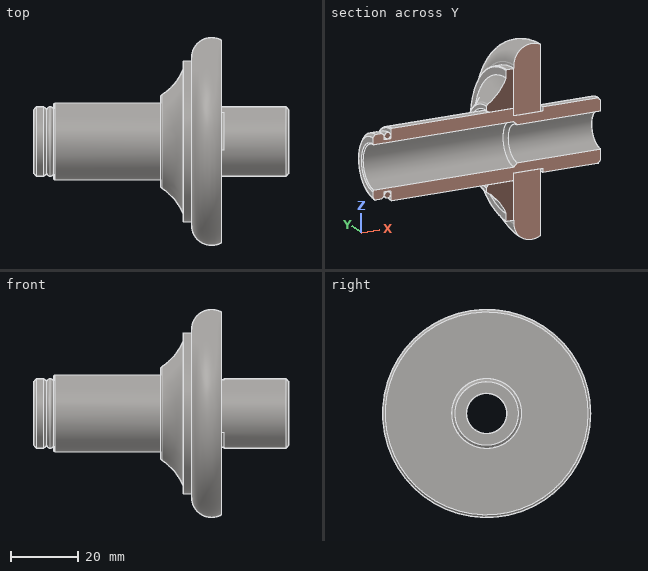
import cadquery as cq
import math


total_length = 76.0
flange_radius = 31.0

neck_radius = 10.4
neck_chamfer_length = 0.8
neck_chamfer_height = 0.95
collar_radius = 11.5
collar_chamfer = 0.3
inlet_neck_length = 3.0
relief_end_x = 3.85
relief_radius = 9.7
collar_start_x = 6.0

ring_section_radius = 1.05
ring_crest_width = 0.3
ring_center_x = collar_start_x - ring_section_radius
ring_center_radius = neck_radius - ring_section_radius
groove_floor_radius = ring_center_radius - ring_section_radius

bell_start_x = 37.8
bell_nose_radius = 14.05
bell_nose_chamfer = 0.5
bell_countersink = 0.7
bell_flare_radius = 21.4
bell_flare_arc_radius = 15.5
bell_rim_x = 44.4
bell_rim_radius = 24.0
bell_rim_chamfer = 0.2

flange_edge_radius = 6.0
flange_edge_center_radius = flange_radius - flange_edge_radius
flange_start_x = 47.0
flange_end_x = 56.0
flange_edge_center_x = flange_start_x + flange_edge_radius
flange_back_radius = flange_edge_center_radius + math.sqrt(
    flange_edge_radius**2 - (flange_end_x - flange_edge_center_x) ** 2
)

flats_width = 17.0
flats_angle = 68.5
flats_end_x = 56.7

inlet_bore_radius = 7.1
bore_chamfer = 0.4
outlet_bore_radius = 5.95
bore_step_x = flange_start_x
bore_step_length = inlet_bore_radius - outlet_bore_radius


def turn(profile):
    """Revolve a closed profile of (x, radius) points about the X axis."""
    return profile.close().revolve(360, (0, 0, 0), (1, 0, 0))


def make_flat_cutters(start_x, end_x):
    """Two blocks that leave a core with parallel flats between start_x and end_x."""
    block_height = collar_radius
    block_width = 2 * collar_radius
    blocks = cq.Workplane("XY")
    for side in (-1, 1):
        block = cq.Workplane("XY").box(end_x - start_x, block_width, block_height)
        offset = side * (flats_width + block_height) / 2
        blocks = blocks.add(block.translate(((start_x + end_x) / 2, 0, offset)))
    return blocks.combine().rotate((0, 0, 0), (1, 0, 0), flats_angle - 90)


def make_seal_ring():
    half_crest = ring_crest_width / 2
    crest_radius = ring_center_radius + math.sqrt(ring_section_radius**2 - half_crest**2)
    return turn(
        cq.Workplane("XY")
        .moveTo(ring_center_x + half_crest, crest_radius)
        .threePointArc(
            (ring_center_x, ring_center_radius - ring_section_radius),
            (ring_center_x - half_crest, crest_radius),
        )
    )


def make_spindle():
    neck_end_radius = neck_radius - neck_chamfer_height
    body = turn(
        cq.Workplane("XY")
        .moveTo(0, inlet_bore_radius + bore_chamfer)
        .lineTo(0, neck_end_radius)
        .lineTo(neck_chamfer_length, neck_radius)
        .lineTo(inlet_neck_length, neck_radius)
        .lineTo(relief_end_x, relief_radius)
        .lineTo(relief_end_x, groove_floor_radius)
        .lineTo(collar_start_x, groove_floor_radius)
        .lineTo(collar_start_x, collar_radius - collar_chamfer)
        .lineTo(collar_start_x + collar_chamfer, collar_radius)
        .lineTo(flange_start_x, collar_radius)
        .lineTo(flange_start_x, neck_radius)
        .lineTo(total_length - neck_chamfer_length, neck_radius)
        .lineTo(total_length, neck_end_radius)
        .lineTo(total_length, outlet_bore_radius)
        .lineTo(bore_step_x + bore_step_length, outlet_bore_radius)
        .lineTo(bore_step_x, inlet_bore_radius)
        .lineTo(bore_chamfer, inlet_bore_radius)
    )
    return body.cut(make_flat_cutters(flange_start_x, flats_end_x))


def make_bell():
    flare_start = (bell_start_x + bell_nose_chamfer, bell_nose_radius)
    flare_end = (bell_rim_x, bell_flare_radius)
    return turn(
        cq.Workplane("XY")
        .moveTo(bell_start_x, collar_radius + bell_countersink)
        .lineTo(bell_start_x, bell_nose_radius - bell_nose_chamfer)
        .lineTo(*flare_start)
        .radiusArc(flare_end, -bell_flare_arc_radius)
        .lineTo(bell_rim_x, bell_rim_radius - bell_rim_chamfer)
        .lineTo(bell_rim_x + bell_rim_chamfer, bell_rim_radius)
        .lineTo(flange_start_x, bell_rim_radius)
        .lineTo(flange_start_x, collar_radius)
        .lineTo(bell_start_x + bell_countersink, collar_radius)
    )


def make_flange():
    disc = turn(
        cq.Workplane("XY")
        .moveTo(flange_start_x, 0)
        .lineTo(flange_start_x, flange_edge_center_radius)
        .threePointArc(
            (flange_edge_center_x, flange_radius),
            (flange_end_x, flange_back_radius),
        )
        .lineTo(flange_end_x, 0)
    )
    thickness = flange_end_x - flange_start_x
    core = cq.Workplane("YZ", origin=(flange_start_x, 0, 0)).circle(neck_radius).extrude(thickness)
    core = core.cut(make_flat_cutters(flange_start_x, flange_end_x))
    return disc.cut(core)


spindle = make_spindle()
seal_ring = make_seal_ring()
bell = make_bell()
flange = make_flange()

result = cq.Compound.makeCompound([spindle.val(), seal_ring.val(), bell.val(), flange.val()])